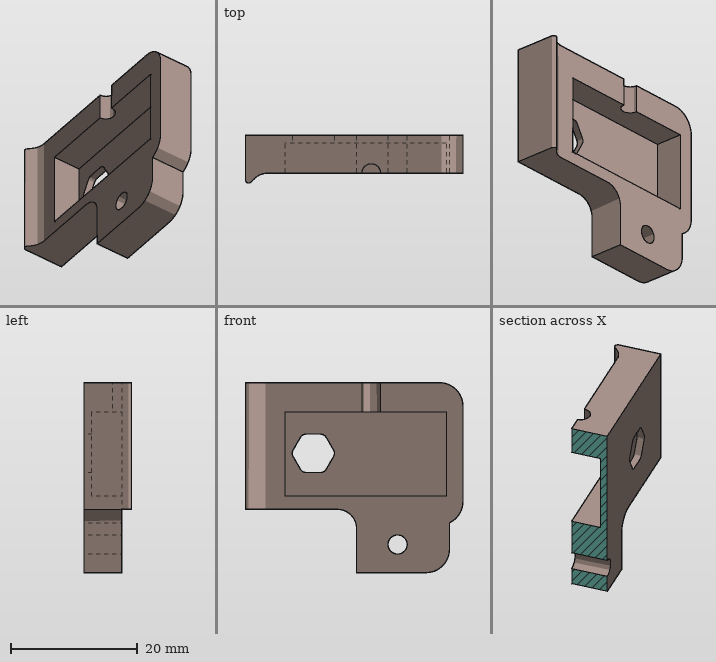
import cadquery as cq
import math

length = 34.32
height = 30.0
thickness = 6.0
corner_radius = 3.75

body_height = 20.0
right_end_height = 22.48
tab_left = 17.5
tab_right = 32.2
tab_fillet_radius = 3.0

lip_height = 1.55
lip_tip_radius = 0.5
lip_root_radius = 3.0
lip_slope = math.radians(45)

pocket_left = 6.25
pocket_right = 31.68
pocket_top = -4.67
pocket_bottom = -17.88
pocket_depth = 4.8

hex_x = 10.7
hex_z = -11.15
hex_across_flats = 6.0
hex_corner_radius = 1.0
hole_diameter = 3.0
hole_x = 24.0
hole_z = -25.55
groove_x = 19.85
groove_diameter = 3.0


def front_sketch():
    """XZ plane whose extrusion runs from the front face toward +Y."""
    return cq.Workplane("XZ")


def box_between(left, right, bottom, top, depth):
    """Block starting at the front face and reaching back by depth."""
    block = cq.Workplane("XY").box(right - left, depth, top - bottom, centered=False)
    return block.translate((left, 0, bottom))


def make_plate():
    """L-shaped plate whose rounded right end overhangs the tab."""
    right_end = (
        box_between(tab_left, length, -right_end_height, 0, thickness)
        .edges("|Y and >X")
        .fillet(corner_radius)
    )
    tab = (
        box_between(tab_left, tab_right, -height, -corner_radius, thickness)
        .edges("|Y and >X and <Z")
        .fillet(corner_radius)
    )
    body = box_between(0, tab_right - corner_radius, -body_height, 0, thickness)
    plate = body.union(right_end).union(tab)
    inner_corner = cq.selectors.NearestToPointSelector((tab_left, thickness / 2, -body_height))
    return plate.edges("|Y").edges(inner_corner).fillet(tab_fillet_radius)


def make_lip():
    """Rounded lip: tip arc, sloped flank and concave root arc."""
    sine = math.sin(lip_slope)
    cosine = math.cos(lip_slope)
    half_sine = math.sin(lip_slope / 2)
    half_cosine = math.cos(lip_slope / 2)

    tip_center_y = -lip_height + lip_tip_radius
    flank_start_x = lip_tip_radius * (1 + sine)
    flank_start_y = tip_center_y - lip_tip_radius * cosine
    flank_end_y = -lip_root_radius * (1 - cosine)
    flank_end_x = flank_start_x + (flank_end_y - flank_start_y) / math.tan(lip_slope)
    root_end_x = flank_end_x + lip_root_radius * sine
    root_mid_x = root_end_x - lip_root_radius * half_sine
    root_mid_y = -lip_root_radius * (1 - half_cosine)

    tip_arc_middle = (lip_tip_radius, -lip_height)
    return (
        cq.Workplane("XY")
        .moveTo(0, thickness)
        .lineTo(0, tip_center_y)
        .threePointArc(tip_arc_middle, (flank_start_x, flank_start_y))
        .lineTo(flank_end_x, flank_end_y)
        .threePointArc((root_mid_x, root_mid_y), (root_end_x, 0))
        .lineTo(root_end_x, thickness)
        .close()
        .extrude(-body_height)
    )


def make_pocket():
    return box_between(pocket_left, pocket_right, pocket_bottom, pocket_top, pocket_depth)


def make_hex_hole():
    """Through hexagon with rounded corners and flats at top and bottom."""
    across_corners = hex_across_flats / math.cos(math.pi / 6)
    return (
        front_sketch()
        .center(hex_x, hex_z)
        .polygon(6, across_corners)
        .extrude(-thickness)
        .edges("|Y")
        .fillet(hex_corner_radius)
    )


def make_tab_hole():
    return front_sketch().center(hole_x, hole_z).circle(hole_diameter / 2).extrude(-thickness)


def make_groove():
    """Vertical half-round groove from the top edge into the pocket."""
    return cq.Workplane("XY").center(groove_x, 0).circle(groove_diameter / 2).extrude(pocket_top)


result = (
    make_plate()
    .union(make_lip())
    .cut(make_pocket())
    .cut(make_hex_hole())
    .cut(make_tab_hole())
    .cut(make_groove())
)